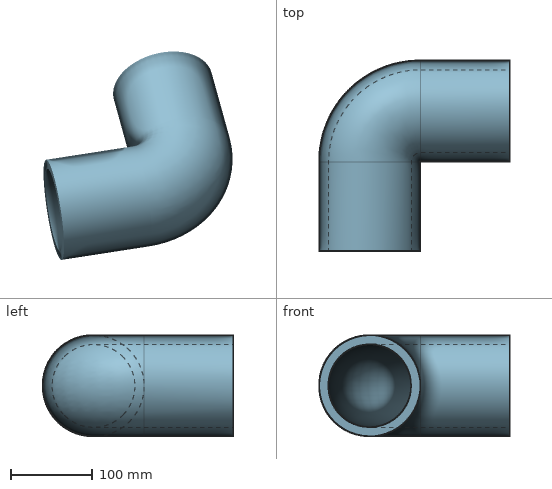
import cadquery as cq

overall = 235.5
outer_diameter = 125.0
bore_diameter = 102.2
bend_radius = outer_diameter / 2
leg_length = overall - bend_radius - outer_diameter / 2
bend_angle = 90


def elbow(diameter):
    """Solid elbow whose bend is centred on the origin, with legs along -Y and +X."""
    radius = diameter / 2
    y_leg = cq.Workplane("XZ").center(-bend_radius, 0).circle(radius).extrude(leg_length)
    x_leg = cq.Workplane("YZ").center(bend_radius, 0).circle(radius).extrude(leg_length)
    bend = (
        cq.Workplane("XZ")
        .center(-bend_radius, 0)
        .circle(radius)
        .revolve(bend_angle, (bend_radius, 0), (bend_radius, -1))
    )
    return y_leg.union(bend).union(x_leg)


result = elbow(outer_diameter).cut(elbow(bore_diameter))